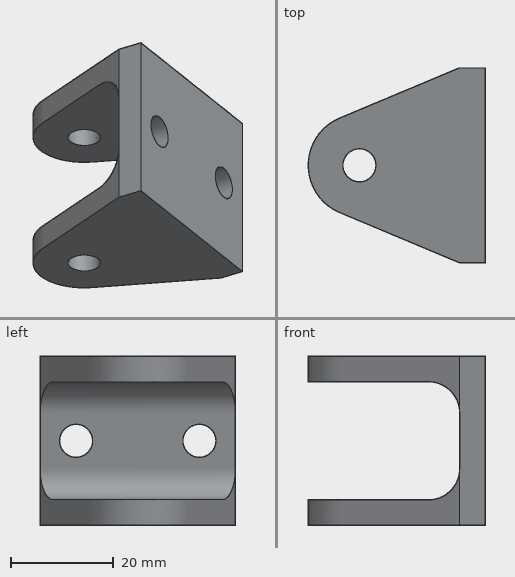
import cadquery as cq
import math

length = 34.5
width = 38.0
height = 33.0
wall = 5.0
nose_radius = 10.0
inner_radius = 6.0
hole_diameter = 6.4
plate_hole_spacing = 24.0

back_x = length / 2
plate_x = back_x - wall
nose_tip_x = -length / 2
nose_center_x = nose_tip_x + nose_radius
half_width = width / 2

corner_dx = plate_x - nose_center_x
corner_distance = math.hypot(corner_dx, half_width)
tangent_angle = math.atan2(half_width, corner_dx) + math.acos(nose_radius / corner_distance)
tangent_x = nose_center_x + nose_radius * math.cos(tangent_angle)
tangent_y = nose_radius * math.sin(tangent_angle)


def make_body():
    """Tapered block with a round nose, over the full height."""
    return (
        cq.Workplane("XY")
        .workplane(offset=-height / 2)
        .moveTo(back_x, -half_width)
        .lineTo(back_x, half_width)
        .lineTo(plate_x, half_width)
        .lineTo(tangent_x, tangent_y)
        .threePointArc((nose_tip_x, 0), (tangent_x, -tangent_y))
        .lineTo(plate_x, -half_width)
        .close()
        .extrude(height)
    )


def make_gap():
    """Space between the arms, rounded where it meets the back plate."""
    return (
        cq.Workplane("XY")
        .box(length - wall, width, height - 2 * wall)
        .translate((-wall / 2, 0, 0))
        .edges(">X and |Y")
        .fillet(inner_radius)
    )


def make_pin_hole():
    """Vertical hole through both arms, concentric with the nose."""
    return (
        cq.Workplane("XY")
        .center(nose_center_x, 0)
        .circle(hole_diameter / 2)
        .extrude(height / 2, both=True)
    )


def make_plate_holes():
    """Pair of mounting holes through the back plate."""
    return (
        cq.Workplane("YZ")
        .workplane(offset=plate_x)
        .pushPoints([(-plate_hole_spacing / 2, 0), (plate_hole_spacing / 2, 0)])
        .circle(hole_diameter / 2)
        .extrude(wall)
    )


result = make_body().cut(make_gap()).cut(make_pin_hole()).cut(make_plate_holes())